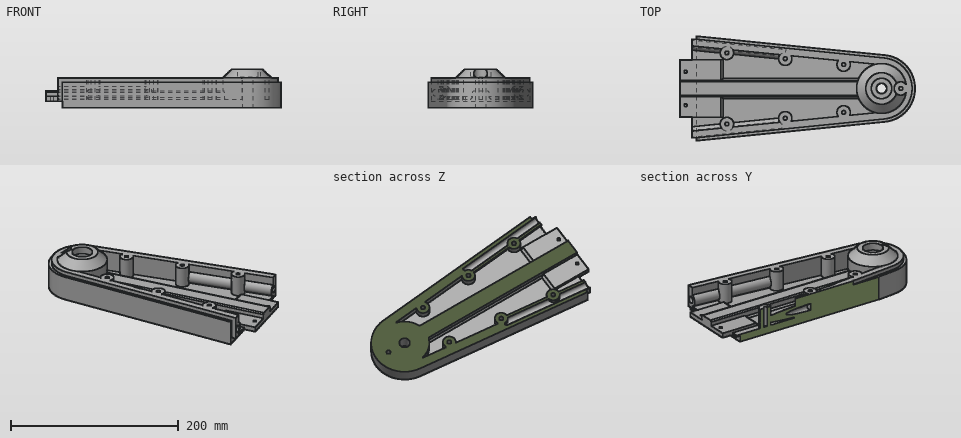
import cadquery as cq
import math


LENGTH = 280.5
REAR_WIDTH = 124.8
HEIGHT = 46.0

NOSE_RADIUS = 40.0
SHELL_REAR_X = -220.8
SHELL_TOP_Z = 30.5

LIP_INSET = 3.6
WALL_INSET = 12.0
RIM_Z = 35.5
BODY_REAR_X = -226.0
BODY_TAPER_END_X = -222.5
BODY_BOTTOM_Z = 7.5
FLOOR_Z = 10.5

TONGUE_REAR_X = NOSE_RADIUS - LENGTH
TONGUE_FRONT_X = -188.5
TONGUE_WIDTH = 68.5
TONGUE_TOP_Z = 13.7
TONGUE_HOLE_DIAMETER = 3.5
TONGUE_HOLE_INSET = 7.0
TONGUE_HOLE_Y = 20.0

RAIL_WIDTH = 20.0
RAIL_TOP_Z = 20.5
RAIL_CHAMFER = 1.7
RAIL_FLARE = 2.2

BOSS_RADIUS = 29.7
BOSS_TOP_RADIUS = 18.8
BORE_DIAMETER = 12.0
COUNTERBORE_DIAMETER = 24.5
COUNTERBORE_DEPTH = 9.0

PILLAR_DIAMETER = 16.0
SCREW_HOLE_DIAMETER = 4.5
PILLAR_INSET = 16.3
FIRST_PILLAR_X = -184.3
PILLAR_PITCH = 69.5
PILLARS_PER_SIDE = 3
NOSE_PILLAR_X = 23.0

TUBE_DIAMETER = 16.0
TUBE_BORE_DIAMETER = 8.0
TUBE_INSET = 9.3
TUBE_Z = 18.2

rear_corner_distance = math.hypot(SHELL_REAR_X, REAR_WIDTH / 2)
TAPER = math.acos(NOSE_RADIUS / rear_corner_distance) - math.atan2(-SHELL_REAR_X, REAR_WIDTH / 2)

pillar_xs = [FIRST_PILLAR_X + i * PILLAR_PITCH for i in range(PILLARS_PER_SIDE)]
tube_end_x = pillar_xs[1]


def side_y(x, inset):
    """Y of the tapered +Y side line, moved inward by inset."""
    return (NOSE_RADIUS - inset) / math.cos(TAPER) - x * math.tan(TAPER)


def tapered_prism(inset, taper_end_x, rear_x, bottom_z, top_z):
    """Round nose with tapered sides, then a straight stretch back to rear_x."""
    radius = NOSE_RADIUS - inset
    tangent_x = radius * math.sin(TAPER)
    tangent_y = radius * math.cos(TAPER)
    rear_y = side_y(taper_end_x, inset)
    outline = (
        cq.Workplane("XY", origin=(0, 0, bottom_z))
        .moveTo(taper_end_x, -rear_y)
        .lineTo(tangent_x, -tangent_y)
        .threePointArc((radius, 0), (tangent_x, tangent_y))
        .lineTo(taper_end_x, rear_y)
    )
    if rear_x < taper_end_x:
        outline = outline.lineTo(rear_x, rear_y).lineTo(rear_x, -rear_y)
    return outline.close().extrude(top_z - bottom_z)


def vertical_cylinder(x, y, diameter, bottom_z, top_z):
    return (
        cq.Workplane("XY", origin=(x, y, bottom_z))
        .circle(diameter / 2)
        .extrude(top_z - bottom_z)
    )


def make_body():
    """Solid envelope of the inner body, which shows as a lip above the shell."""
    return tapered_prism(LIP_INSET, BODY_TAPER_END_X, BODY_REAR_X, BODY_BOTTOM_Z, RIM_Z)


def make_tray():
    """Stepped outer shell and inner body, hollowed down to the floor."""
    shell = tapered_prism(0, SHELL_REAR_X, SHELL_REAR_X, 0, SHELL_TOP_Z)
    cavity = tapered_prism(WALL_INSET, BODY_REAR_X, BODY_REAR_X, FLOOR_Z, RIM_Z)
    return shell.union(make_body()).cut(cavity)


def make_tongue():
    """Flat plate projecting from the rear, with its front edge sloped down to the floor."""
    slope = TONGUE_TOP_Z - FLOOR_Z
    return (
        cq.Workplane("XZ", origin=(0, TONGUE_WIDTH / 2, 0))
        .moveTo(TONGUE_REAR_X, BODY_BOTTOM_Z)
        .lineTo(TONGUE_FRONT_X, BODY_BOTTOM_Z)
        .lineTo(TONGUE_FRONT_X, FLOOR_Z)
        .lineTo(TONGUE_FRONT_X - slope, TONGUE_TOP_Z)
        .lineTo(TONGUE_REAR_X, TONGUE_TOP_Z)
        .close()
        .extrude(TONGUE_WIDTH)
    )


def make_rail():
    """Chamfered centre rail on the tongue and floor, ending inside the boss."""
    half = RAIL_WIDTH / 2
    right_side = [
        (half + RAIL_FLARE, BODY_BOTTOM_Z),
        (half + RAIL_FLARE, FLOOR_Z),
        (half, FLOOR_Z + RAIL_FLARE),
        (half, RAIL_TOP_Z - RAIL_CHAMFER),
        (half - RAIL_CHAMFER, RAIL_TOP_Z),
    ]
    left_side = [(-y, z) for y, z in reversed(right_side)]
    return (
        cq.Workplane("YZ", origin=(TONGUE_REAR_X, 0, 0))
        .polyline(right_side + left_side)
        .close()
        .extrude(-TONGUE_REAR_X)
    )


def make_boss():
    """Cylinder topped by a cone, around the main bore."""
    return (
        cq.Workplane("XZ")
        .moveTo(0, BODY_BOTTOM_Z)
        .lineTo(BOSS_RADIUS, BODY_BOTTOM_Z)
        .lineTo(BOSS_RADIUS, RIM_Z)
        .lineTo(BOSS_TOP_RADIUS, HEIGHT)
        .lineTo(0, HEIGHT)
        .close()
        .revolve(360, (0, 0, 0), (0, 1, 0))
    )


def tube_cylinder(side, diameter):
    """Cylinder along one side wall, from the rear face to the second pillar."""
    rear_y = side_y(BODY_REAR_X, TUBE_INSET)
    end_y = side_y(tube_end_x, TUBE_INSET)
    start_x = BODY_REAR_X - diameter
    start_y = side_y(start_x, TUBE_INSET)
    direction = cq.Vector(tube_end_x - BODY_REAR_X, side * (end_y - rear_y), 0)
    length = math.hypot(tube_end_x - start_x, end_y - start_y)
    cylinder = cq.Solid.makeCylinder(
        diameter / 2, length, cq.Vector(start_x, side * start_y, TUBE_Z), direction
    )
    return make_body().intersect(cq.Workplane(cylinder))


pillar_centres = [(x, side * side_y(x, PILLAR_INSET)) for x in pillar_xs for side in (-1, 1)]

result = make_tray().union(make_tongue()).union(make_rail()).union(make_boss())

for side in (-1, 1):
    result = result.union(tube_cylinder(side, TUBE_DIAMETER))
for side in (-1, 1):
    result = result.cut(tube_cylinder(side, TUBE_BORE_DIAMETER))

for x, y in pillar_centres:
    result = result.union(vertical_cylinder(x, y, PILLAR_DIAMETER, BODY_BOTTOM_Z, RIM_Z))
result = result.cut(vertical_cylinder(NOSE_PILLAR_X, 0, PILLAR_DIAMETER, RIM_Z, HEIGHT))
for x, y in pillar_centres + [(NOSE_PILLAR_X, 0)]:
    result = result.cut(vertical_cylinder(x, y, SCREW_HOLE_DIAMETER, FLOOR_Z, RIM_Z))

result = result.cut(vertical_cylinder(0, 0, BORE_DIAMETER, 0, HEIGHT))
result = result.cut(
    vertical_cylinder(0, 0, COUNTERBORE_DIAMETER, HEIGHT - COUNTERBORE_DEPTH, HEIGHT)
)

for side in (-1, 1):
    result = result.cut(
        vertical_cylinder(
            TONGUE_REAR_X + TONGUE_HOLE_INSET,
            side * TONGUE_HOLE_Y,
            TONGUE_HOLE_DIAMETER,
            BODY_BOTTOM_Z,
            TONGUE_TOP_Z,
        )
    )